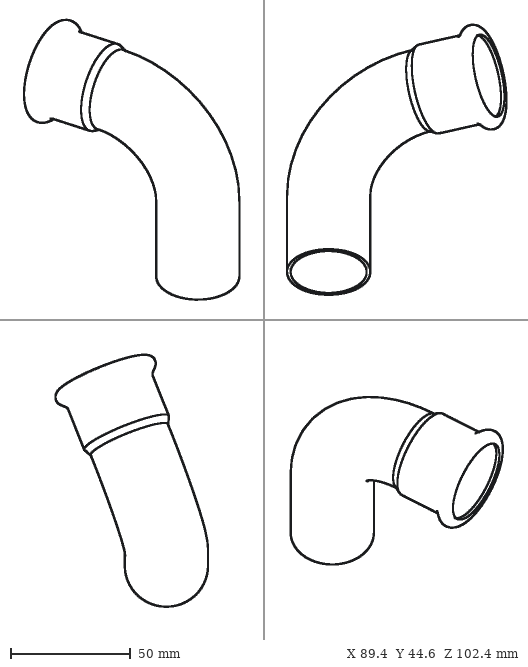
import cadquery as cq
import math

total_height = 102.4
total_width = 89.4

tube_radius = 17.4
wall = 1.5

socket_radius = 19.0
socket_end = 26.8
taper_end = 30.0

bead_outer_radius = 22.3
bead_section_radius = 3.0
neck_start = 8.4
neck_fillet = 2.1

socket_axis_z = total_height - bead_outer_radius
spigot_axis_x = total_width - tube_radius
bend_radius = spigot_axis_x - taper_end
spigot_length = socket_axis_z - bend_radius

bead_x = bead_section_radius
bead_r = bead_outer_radius - bead_section_radius
neck_x = neck_start
neck_r = socket_radius + neck_fillet
socket_bore = socket_radius - wall


def on_arc(center_x, center_r, radius, degrees):
    """Point on a section arc, with the angle measured from +X."""
    angle = math.radians(degrees)
    return (center_x + radius * math.cos(angle), center_r + radius * math.sin(angle))


def bead_point(radius, degrees):
    return on_arc(bead_x, bead_r, radius, degrees)


def neck_point(radius, degrees):
    return on_arc(neck_x, neck_r, radius, degrees)


def make_socket():
    """Revolve the constant-wall socket section, with its bead, about its axis."""
    groove_radius = bead_section_radius - wall
    inner_neck = neck_fillet + wall
    section = (
        cq.Workplane("XY")
        .moveTo(0, socket_bore)
        .lineTo(0, bead_r)
        .threePointArc(bead_point(bead_section_radius, 112.5), bead_point(bead_section_radius, 45))
        .lineTo(*neck_point(neck_fillet, 225))
        .threePointArc(neck_point(neck_fillet, 247.5), neck_point(neck_fillet, 270))
        .lineTo(socket_end, socket_radius)
        .lineTo(taper_end, tube_radius)
        .lineTo(taper_end, tube_radius - wall)
        .lineTo(socket_end, socket_bore)
        .lineTo(neck_x, socket_bore)
        .threePointArc(neck_point(inner_neck, 247.5), neck_point(inner_neck, 225))
        .lineTo(*bead_point(groove_radius, 45))
        .threePointArc(bead_point(groove_radius, 112.5), bead_point(groove_radius, 180))
        .lineTo(wall, socket_bore)
        .close()
    )
    socket = section.revolve(360, (0, 0, 0), (1, 0, 0))
    return socket.translate((0, 0, socket_axis_z))


def tube_ring(workplane):
    return workplane.circle(tube_radius).circle(tube_radius - wall)


def make_spigot():
    """Straight plain end pointing down."""
    return tube_ring(cq.Workplane("XY").center(spigot_axis_x, 0)).extrude(spigot_length)


def make_bend():
    """Quarter-turn tube from the top of the spigot to the socket."""
    bend_start = cq.Workplane("XY", origin=(spigot_axis_x, 0, spigot_length))
    return tube_ring(bend_start).revolve(90, (-bend_radius, 0, 0), (-bend_radius, -1, 0))


result = make_socket().union(make_bend()).union(make_spigot())